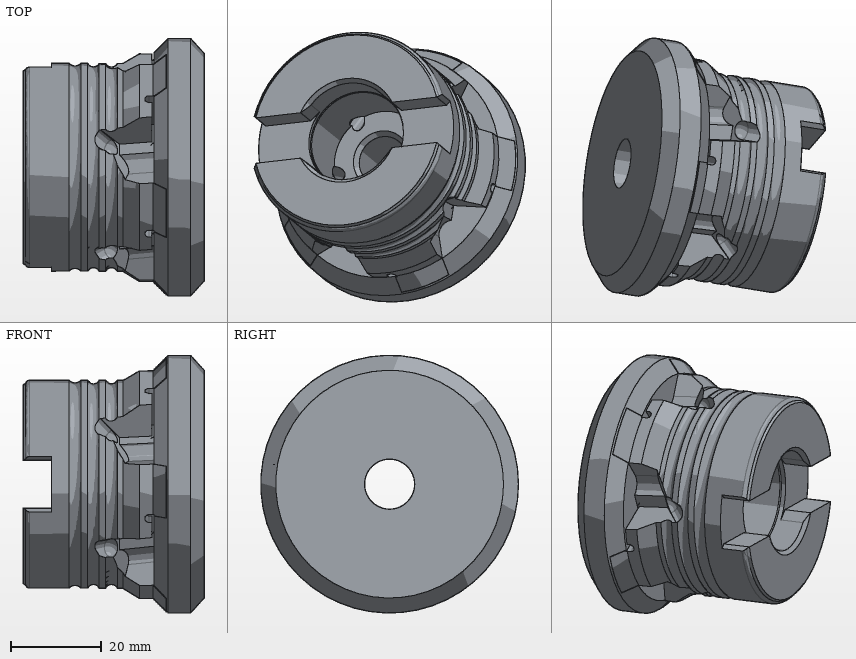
import cadquery as cq
import math

LENGTH = 40.02
BODY_R = 23.0
END_FACE_R = 21.95
END_CHAMFER_TOP = (0.55, 22.35)
END_ROUND_MIDDLE = (0.9, 22.8)
END_ROUND_TOP = (1.45, BODY_R)
GROOVES = [(10.15, 12.75, 0.6), (14.25, 16.8, 0.8), (18.2, 20.8, 0.8)]
CONE_START_X = 22.0
CONE_END_X = 25.7
TOOTH_R = 25.3

FLANGE_X = 28.85
FLANGE_R = 56.97 / 2
FLANGE_BACK_LENGTH = FLANGE_R - TOOTH_R
FLANGE_CHAMFER_LENGTH = 3.05
FLANGE_END_R = 25.15

BORE_R = 11.0
BORE_RELIEF_R = 22.3 / 2
BORE_MOUTH_R = 12.0
BORE_STEP_START_X = 7.3
BORE_STEP_END_X = 7.6
BORE_FLOOR_X = 22.0
THROUGH_R = 5.5
THROUGH_CHAMFER = 1.0

SLOT_HALF_WIDTH = 5.27
SLOT_DEPTH = 6.25
SLOT_CHAMFER_START = 21.3
SLOT_INNER_CHAMFER_START = 10.75
SLOT_INNER_CHAMFER_END = (8.3, 7.35)

TOOTH_COUNT = 5
TOOTH_PITCH = 360.0 / TOOTH_COUNT
FIRST_TOOTH_ANGLE = 27.5
WALL_SIDE = 7.9
BACK_SIDE = -8.5
RAKE_ANGLE = 6.0
POCKET_FLOOR = 16.1
VALLEY_R = 3.0
VALLEY_RADIAL = 18.6
RUNOUT_R = 2.1
RUNOUT_SIDE = 11.3
RAMP_FOOT_X = 21.3
RAMP_ANGLE = 50.0
PLAN_START_X = 17.0
CLEAR_R = 32.0

PAD_SIDE = 2.9
PAD_RISE = 0.12
PAD_END_X = 31.6
PAD_ROOT = 0.5
GAP_WIDTH = 0.4
RELIEF_R = 0.9
RELIEF_SIDE = 3.5
RELIEF_X = 27.8

COOLANT_R = 1.5
COOLANT_START = (BORE_FLOOR_X, 2.7, 10.4)
COOLANT_END = (29.0, 8.8, 14.6)


def make_body():
    """Solid of revolution with the grooves, tooth cone and flange."""
    profile = cq.Workplane("XY").lineTo(0, END_FACE_R)
    profile = profile.lineTo(*END_CHAMFER_TOP).threePointArc(END_ROUND_MIDDLE, END_ROUND_TOP)
    for start, end, depth in GROOVES:
        profile = profile.lineTo(start, BODY_R)
        profile = profile.threePointArc(((start + end) / 2, BODY_R - depth), (end, BODY_R))
    profile = (
        profile.lineTo(CONE_START_X, BODY_R)
        .lineTo(CONE_END_X, TOOTH_R)
        .lineTo(FLANGE_X, TOOTH_R)
        .lineTo(FLANGE_X + FLANGE_BACK_LENGTH, FLANGE_R)
        .lineTo(LENGTH - FLANGE_CHAMFER_LENGTH, FLANGE_R)
        .lineTo(LENGTH, FLANGE_END_R)
        .lineTo(LENGTH, 0)
        .close()
    )
    return profile.revolve(360, (0, 0, 0), (1, 0, 0))


def make_bore():
    """Chamfered mouth, stepped blind bore and chamfered through hole."""
    return (
        cq.Workplane("XY")
        .lineTo(0, BORE_MOUTH_R)
        .lineTo(BORE_MOUTH_R - BORE_RELIEF_R, BORE_RELIEF_R)
        .lineTo(BORE_STEP_START_X, BORE_RELIEF_R)
        .lineTo(BORE_STEP_END_X, BORE_R)
        .lineTo(BORE_FLOOR_X, BORE_R)
        .lineTo(BORE_FLOOR_X, THROUGH_R + THROUGH_CHAMFER)
        .lineTo(BORE_FLOOR_X + THROUGH_CHAMFER, THROUGH_R)
        .lineTo(LENGTH, THROUGH_R)
        .lineTo(LENGTH, 0)
        .close()
        .revolve(360, (0, 0, 0), (1, 0, 0))
    )


def make_slot():
    """Slot along Y whose walls are chamfered at the bore and at the outer ends."""
    flare_half_width = SLOT_HALF_WIDTH + CLEAR_R - SLOT_CHAMFER_START
    quarter = [
        SLOT_INNER_CHAMFER_END,
        (SLOT_INNER_CHAMFER_START, SLOT_HALF_WIDTH),
        (SLOT_CHAMFER_START, SLOT_HALF_WIDTH),
        (CLEAR_R, flare_half_width),
    ]
    side = quarter + [(y, -z) for y, z in reversed(quarter)]
    outline = side + [(-y, -z) for y, z in side]
    return cq.Workplane("YZ").polyline(outline).close().extrude(SLOT_DEPTH)


def from_next_tooth(side, radial):
    """Position given in the frame of the following tooth, in the frame of this one."""
    pitch = math.radians(TOOTH_PITCH)
    return (
        side * math.cos(pitch) + radial * math.sin(pitch),
        radial * math.cos(pitch) - side * math.sin(pitch),
    )


def pocket_section():
    """Pocket across X: seat wall, flat floor, round valley and back of the next tooth."""
    center_side, center_radial = from_next_tooth(BACK_SIDE - VALLEY_R, VALLEY_RADIAL)
    valley_end = from_next_tooth(BACK_SIDE, VALLEY_RADIAL)
    back_end = from_next_tooth(BACK_SIDE, CLEAR_R)
    drop = center_radial - POCKET_FLOOR
    floor_end_side = center_side - math.sqrt(VALLEY_R**2 - drop**2)
    start_angle = math.atan2(-drop, floor_end_side - center_side)
    end_angle = math.atan2(valley_end[1] - center_radial, valley_end[0] - center_side)
    mid_angle = (start_angle + end_angle) / 2
    valley_mid = (
        center_side + VALLEY_R * math.cos(mid_angle),
        center_radial + VALLEY_R * math.sin(mid_angle),
    )
    return (
        cq.Workplane("YZ")
        .moveTo(-WALL_SIDE, CLEAR_R)
        .lineTo(-WALL_SIDE, POCKET_FLOOR)
        .lineTo(-floor_end_side, POCKET_FLOOR)
        .threePointArc((-valley_mid[0], valley_mid[1]), (-valley_end[0], valley_end[1]))
        .lineTo(-back_end[0], back_end[1])
        .lineTo(-back_end[0], CLEAR_R)
        .close()
        .extrude(LENGTH)
        .rotate((FLANGE_X, -WALL_SIDE, 0), (FLANGE_X, -WALL_SIDE, 1), RAKE_ANGLE)
    )


def pocket_plan():
    """Pocket outline looking along the tooth, opening at 45 degrees towards the flange."""
    far_side = RUNOUT_SIDE + RUNOUT_R
    return (
        cq.Workplane("XY")
        .moveTo(FLANGE_X, 0)
        .lineTo(0, 0)
        .lineTo(0, -far_side)
        .lineTo(PLAN_START_X, -far_side)
        .lineTo(FLANGE_X, -far_side - (FLANGE_X - PLAN_START_X))
        .close()
        .extrude(CLEAR_R)
    )


def pocket_ramp():
    """Side outline of the pocket: everything above the sloping run-out."""
    rise = CLEAR_R - POCKET_FLOOR
    slope = math.tan(math.radians(RAMP_ANGLE))
    return (
        cq.Workplane("XZ")
        .moveTo(RAMP_FOOT_X - rise / slope, CLEAR_R)
        .lineTo(RAMP_FOOT_X + POCKET_FLOOR / slope, 0)
        .lineTo(FLANGE_X + POCKET_FLOOR, 0)
        .lineTo(FLANGE_X + POCKET_FLOOR, CLEAR_R)
        .close()
        .extrude(CLEAR_R)
    )


def make_runout():
    """Round channel that leads the pocket out through the body surface along the ramp."""
    angle = math.radians(RAMP_ANGLE)
    axis = cq.Vector(-math.cos(angle), 0, math.sin(angle))
    ball_center = cq.Vector(
        RAMP_FOOT_X - RUNOUT_R / math.tan(angle), -RUNOUT_SIDE, POCKET_FLOOR + RUNOUT_R
    )
    channel = cq.Solid.makeCylinder(RUNOUT_R, CLEAR_R - POCKET_FLOOR, ball_center, axis)
    ball = cq.Workplane("XY", origin=ball_center.toTuple()).sphere(RUNOUT_R)
    return ball.union(cq.Workplane(channel))


def tooth_block(start_x, end_x, start_side, end_side):
    """Block in the tooth frame, from the pocket floor level outwards."""
    return cq.Workplane("XY").box(
        end_x - start_x, end_side - start_side, CLEAR_R - POCKET_FLOOR, centered=False
    ).translate((start_x, -end_side, POCKET_FLOOR))


def make_seat_gap():
    """Narrow gap between tooth and flange, ending in a rounded corner relief."""
    gap = tooth_block(FLANGE_X - GAP_WIDTH, FLANGE_X, RELIEF_SIDE, WALL_SIDE + GAP_WIDTH)
    relief = tooth_block(RELIEF_X, FLANGE_X, RELIEF_SIDE - RELIEF_R, RELIEF_SIDE + RELIEF_R)
    relief_end = (
        cq.Workplane("XY", origin=(RELIEF_X, -RELIEF_SIDE, POCKET_FLOOR))
        .circle(RELIEF_R)
        .extrude(CLEAR_R - POCKET_FLOOR)
    )
    return gap.union(relief).union(relief_end)


def make_coolant_hole():
    """Slanted hole from the bore floor to the foot of the seat wall."""
    start = cq.Vector(COOLANT_START[0], -COOLANT_START[1], COOLANT_START[2])
    end = cq.Vector(COOLANT_END[0], -COOLANT_END[1], COOLANT_END[2])
    axis = end - start
    overrun = axis.normalized() * COOLANT_R
    return cq.Workplane(
        cq.Solid.makeCylinder(COOLANT_R, axis.Length + COOLANT_R, start - overrun, axis)
    )


def make_pad():
    """Slightly raised strip of the flange cone behind the tooth."""
    rise = PAD_RISE * math.sqrt(2)
    end_r = TOOTH_R + PAD_END_X - FLANGE_X + rise
    ring = (
        cq.Workplane("XY")
        .moveTo(FLANGE_X - rise, TOOTH_R)
        .lineTo(PAD_END_X, end_r)
        .lineTo(PAD_END_X + PAD_ROOT, end_r - PAD_ROOT)
        .lineTo(FLANGE_X - rise + PAD_ROOT, TOOTH_R - PAD_ROOT)
        .close()
        .revolve(360, (0, 0, 0), (1, 0, 0))
    )
    return ring.intersect(tooth_block(CONE_END_X, LENGTH, BACK_SIDE, PAD_SIDE))


def around_teeth(feature):
    """Copies of a feature, one per tooth."""
    angles = [FIRST_TOOTH_ANGLE + index * TOOTH_PITCH for index in range(TOOTH_COUNT)]
    return [feature.rotate((0, 0, 0), (1, 0, 0), angle) for angle in angles]


pocket = pocket_section().intersect(pocket_plan()).intersect(pocket_ramp())

result = make_body()
for pad in around_teeth(make_pad()):
    result = result.union(pad)
for cutter in (pocket, make_runout(), make_seat_gap(), make_coolant_hole()):
    for copy in around_teeth(cutter):
        result = result.cut(copy)
result = result.cut(make_bore()).cut(make_slot())